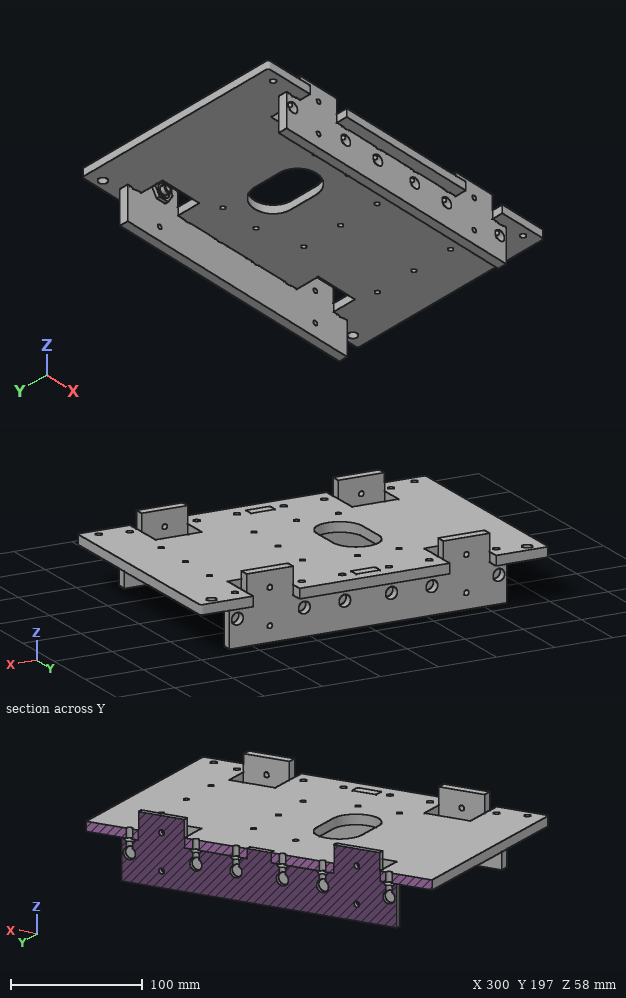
import cadquery as cq

PLATE_LENGTH = 300.0
PLATE_WIDTH = 197.0
SHEET_THICKNESS = 8.5
CORNER_RADIUS = 2.5

RAIL_Y = 84.0
RAIL_LENGTH = 238.8
TOTAL_HEIGHT = 58.0
RAIL_DROP = 34.8
TAB_X = 84.5
TAB_WIDTH = 40.0
TAB_TOP = TOTAL_HEIGHT - RAIL_DROP
KEY_WIDTH = 20.7
NOTCH_DEPTH = 41.0

SCREW_X = [20.0, 55.0, 112.5]
SCREW_DIAMETER = 5.0
COUNTERSINK_DIAMETER = 10.2
POCKET_DIAMETER = 10.0
POCKET_Z = -11.5
POCKET_DEPTH = 7.2

RAIL_HOLE_DIAMETER = 4.2
RAIL_HOLE_Z = [9.3, -21.3]

CORNER_HOLE_X = 136.0
CORNER_HOLE_Y = 90.0
REAR_CORNER_HOLE_DIAMETER = 8.0
FRONT_CORNER_HOLE_DIAMETER = 5.0
MOUNT_HOLE_DIAMETER = 4.2
SLOT_X = -30.0
SLOT_WIDTH = 39.0
SLOT_LENGTH = 64.8
SLOT_HOLE_SPACING = (36.0, 97.2)
RIGHT_HOLES_X = 70.0
RIGHT_HOLE_SPACING = (79.8, 38.7)

NUT_X = -85.8
NUT_Z = 9.3
NUT_GAP = 2.5
FLANGE_SIDES = 6
FLANGE_CORNER_DIAMETER = 19.0
FLANGE_THICKNESS = 3.3
RECESS_DIAMETER = 12.3
RECESS_DEPTH = 0.3
BOSS_DIAMETER = 8.0
BOSS_LENGTH = 4.2
NUT_BORE = 5.0

SIDES = (-1, 1)
screw_positions = [side * x for x in SCREW_X for side in SIDES]
tab_positions = [-TAB_X, TAB_X]


def through_holes(points, diameter):
    """Vertical cutters that pass through the base plate."""
    return cq.Workplane("XY").pushPoints(points).circle(diameter / 2).extrude(SHEET_THICKNESS)


def make_plate():
    plate = cq.Workplane("XY").box(PLATE_LENGTH, PLATE_WIDTH, SHEET_THICKNESS, centered=(True, True, False))
    plate = plate.edges("|Z").fillet(CORNER_RADIUS)

    notch_y = (PLATE_WIDTH - NOTCH_DEPTH) / 2
    notch_centres = [(x, side * notch_y) for x in tab_positions for side in SIDES]
    notches = cq.Workplane("XY").pushPoints(notch_centres).rect(TAB_WIDTH, NOTCH_DEPTH)
    plate = plate.cut(notches.extrude(SHEET_THICKNESS))

    mortise_centres = [(0, side * RAIL_Y) for side in SIDES]
    mortises = cq.Workplane("XY").pushPoints(mortise_centres).rect(KEY_WIDTH, SHEET_THICKNESS)
    plate = plate.cut(mortises.extrude(SHEET_THICKNESS))

    slot = cq.Workplane("XY").center(SLOT_X, 0).slot2D(SLOT_LENGTH, SLOT_WIDTH, 90)
    plate = plate.cut(slot.extrude(SHEET_THICKNESS))

    screw_points = [(x, side * RAIL_Y) for x in screw_positions for side in SIDES]
    plate = plate.cut(through_holes(screw_points, SCREW_DIAMETER))

    rear_points = [(side * CORNER_HOLE_X, CORNER_HOLE_Y) for side in SIDES]
    front_points = [(side * CORNER_HOLE_X, -CORNER_HOLE_Y) for side in SIDES]
    plate = plate.cut(through_holes(rear_points, REAR_CORNER_HOLE_DIAMETER))
    plate = plate.cut(through_holes(front_points, FRONT_CORNER_HOLE_DIAMETER))

    slot_grid = cq.Workplane("XY").center(SLOT_X, 0).rarray(*SLOT_HOLE_SPACING, 2, 2)
    right_grid = cq.Workplane("XY").center(RIGHT_HOLES_X, 0).rarray(*RIGHT_HOLE_SPACING, 2, 3)
    for grid in (slot_grid, right_grid):
        plate = plate.cut(grid.circle(MOUNT_HOLE_DIAMETER / 2).extrude(SHEET_THICKNESS))
    return plate


def make_rail(side):
    """One rail, at the front (side -1) or rear (side 1), with its pockets on the outer face."""
    rail_y = side * RAIL_Y

    def block(x, width, bottom, top):
        base = cq.Workplane("XY", origin=(x, rail_y, bottom))
        return base.rect(width, SHEET_THICKNESS).extrude(top - bottom)

    rail = block(0, RAIL_LENGTH, -RAIL_DROP, 0)
    rail = rail.union(block(0, KEY_WIDTH, 0, SHEET_THICKNESS))
    for x in tab_positions:
        rail = rail.union(block(x, TAB_WIDTH, 0, TAB_TOP))

    outer_face = cq.Workplane("XZ", origin=(0, side * (RAIL_Y + SHEET_THICKNESS / 2), 0))
    hole_points = [(x, z) for x in tab_positions for z in RAIL_HOLE_Z]
    rail_holes = outer_face.pushPoints(hole_points).circle(RAIL_HOLE_DIAMETER / 2)
    rail = rail.cut(rail_holes.extrude(side * SHEET_THICKNESS))

    pocket_points = [(x, POCKET_Z) for x in screw_positions]
    pockets = outer_face.pushPoints(pocket_points).circle(POCKET_DIAMETER / 2)
    rail = rail.cut(pockets.extrude(side * POCKET_DEPTH))

    screw_points = [(x, rail_y) for x in screw_positions]
    screw_holes = cq.Workplane("XY").pushPoints(screw_points).circle(SCREW_DIAMETER / 2)
    rail = rail.cut(screw_holes.extrude(POCKET_Z))

    top_radius = COUNTERSINK_DIAMETER / 2
    hole_radius = SCREW_DIAMETER / 2
    down = cq.Vector(0, 0, -1)
    countersink = cq.Solid.makeCone(top_radius, hole_radius, top_radius - hole_radius, dir=down)
    for x in screw_positions:
        rail = rail.cut(cq.Workplane(countersink.translate(cq.Vector(x, rail_y, 0))))
    return rail


def make_nut():
    back_y = RAIL_Y - SHEET_THICKNESS / 2 - NUT_GAP
    nut_length = FLANGE_THICKNESS + BOSS_LENGTH

    def back_face(offset=0.0):
        """Workplane facing -Y at a distance in front of the back of the flange."""
        return cq.Workplane("XZ", origin=(NUT_X, back_y - offset, NUT_Z))

    nut = back_face().polygon(FLANGE_SIDES, FLANGE_CORNER_DIAMETER).extrude(FLANGE_THICKNESS)
    nut = nut.cut(back_face(FLANGE_THICKNESS).circle(RECESS_DIAMETER / 2).extrude(-RECESS_DEPTH))
    nut = nut.union(back_face().circle(BOSS_DIAMETER / 2).extrude(nut_length))
    return nut.cut(back_face().circle(NUT_BORE / 2).extrude(nut_length))


plate = make_plate()
rails = [make_rail(side) for side in SIDES]
nut = make_nut()
result = cq.Compound.makeCompound([plate.val(), *[rail.val() for rail in rails], nut.val()])